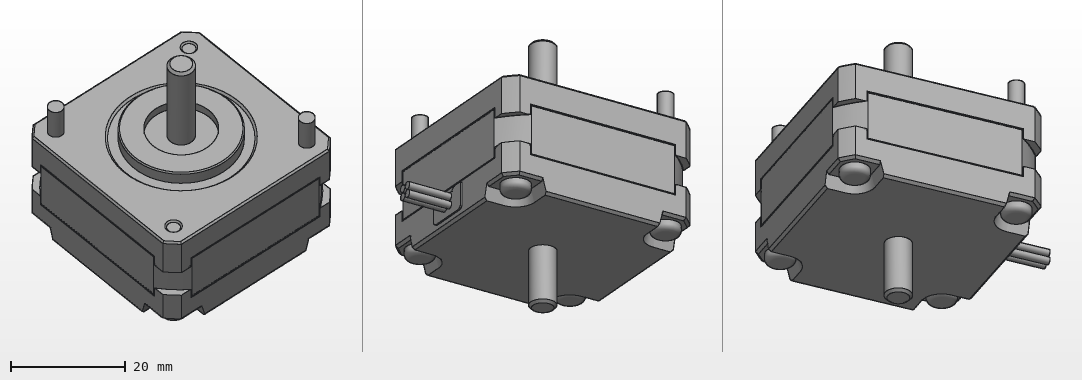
import cadquery as cq
import math


body_width = 39.0
body_height = 21.9
corner_radius = 26.0
top_chamfer = 0.35
bottom_chamfer = 0.5
half_width = body_width / 2

stator_radius = 24.5
stator_height = 9.4
stator_mid_z = -10.2
band_height = 5.6
groove_slope = 45
groove_width = 0.2
flat_width = 2 * math.sqrt(stator_radius**2 - half_width**2)

pilot_radius = 11.0
pilot_height = 2.1
pilot_chamfer = 0.25
bore_radius = 6.55
bore_depth = 1.65
ring_groove_radius = 13.25
ring_groove_depth = 0.4

shaft_radius = 2.5
shaft_top = 18.1
shaft_length = 51.0
shaft_chamfer = 0.5

screw_offset = 15.5
pin_radius = 1.5
pin_height = 6.1
dimple_radius = 1.55
dimple_depth = 0.3

pocket_depth = 2.5
pocket_radius = 3.05
pocket_flare = 15.0
head_radius = 2.75
head_height = 1.9
head_round = 1.0

wire_radius = 0.7
wire_pitch_x = 1.55
wire_pitch_z = 1.6
wire_length = 9.0
wire_mid_z = -17.7
grommet_width = 8.75
grommet_height = 5.1
grommet_thickness = 0.3
grommet_mid_z = -17.95
grommet_round = 0.85
notch_width = 4.5
notch_depth = 0.7

body_bottom = -body_height
pocket_ceiling = body_bottom + pocket_depth
overlap = 0.5


def cylinder(radius, bottom, height):
    return cq.Workplane("XY").workplane(offset=bottom).circle(radius).extrude(height)


def body_block(bottom):
    """Square block with turned corners, from `bottom` up to the mounting face, edges chamfered."""
    height = -bottom
    block = cq.Workplane("XY").workplane(offset=bottom).rect(body_width, body_width).extrude(height)
    block = block.intersect(cylinder(corner_radius, bottom, height))
    return block.faces(">Z").chamfer(top_chamfer).faces("<Z").chamfer(bottom_chamfer)


def corner_pocket():
    """Flared cutter for the (+X, +Y) corner, rounded about the screw axis."""
    wall = screw_offset - pocket_radius
    mid = screw_offset - pocket_radius * math.sqrt(0.5)
    outside = body_width
    cutter_height = pocket_depth + bottom_chamfer
    return (
        cq.Workplane("XY")
        .workplane(offset=body_bottom + cutter_height)
        .moveTo(outside, wall)
        .lineTo(outside, outside)
        .lineTo(wall, outside)
        .lineTo(wall, screw_offset)
        .threePointArc((mid, mid), (screw_offset, wall))
        .close()
        .extrude(-cutter_height, taper=-pocket_flare)
    )


def screw_head():
    """Round-edged head hanging from the pocket ceiling at the (+X, +Y) corner."""
    return (
        cylinder(head_radius, pocket_ceiling - head_height, head_height + overlap)
        .faces("<Z").edges().fillet(head_round)
        .translate((screw_offset, screw_offset, 0))
    )


def side_window():
    """Cutter for the window in the +X face, narrowing inward at 45 degrees to the stator edge."""
    return (
        cq.Workplane("YZ", origin=(half_width, 0, stator_mid_z))
        .rect(flat_width + 2 * groove_width, stator_height + 2 * groove_width)
        .extrude(-groove_width, taper=groove_slope)
    )


def corner_band():
    """Ring cutter that bares the stator corners, with a 45 degree groove at both ends."""
    half_band = band_height / 2
    outside = body_width
    return (
        cq.Workplane("XZ", origin=(0, 0, stator_mid_z))
        .moveTo(outside, -half_band)
        .lineTo(stator_radius + groove_width, -half_band)
        .lineTo(stator_radius, -half_band - groove_width)
        .lineTo(stator_radius, half_band + groove_width)
        .lineTo(stator_radius + groove_width, half_band)
        .lineTo(outside, half_band)
        .close()
        .revolve(360, (0, 0, 0), (0, 1, 0))
    )


def stator():
    bottom = stator_mid_z - stator_height / 2
    block = cq.Workplane("XY").workplane(offset=bottom).rect(body_width, body_width).extrude(stator_height)
    return block.intersect(cylinder(stator_radius, bottom, stator_height))


def lead_wires():
    return (
        cq.Workplane("XZ", origin=(0, half_width - overlap, wire_mid_z))
        .rarray(wire_pitch_x, wire_pitch_z, 2, 2)
        .circle(wire_radius)
        .extrude(-(wire_length + overlap))
    )


def grommet():
    embedded_face = half_width - overlap
    depth = overlap + grommet_thickness
    plate = (
        cq.Workplane("XZ", origin=(0, embedded_face, grommet_mid_z))
        .rect(grommet_width, grommet_height)
        .extrude(-depth)
        .edges("|Y and <Z").fillet(grommet_round)
    )
    top_half = notch_width / 2
    floor_half = top_half - notch_depth
    notch = (
        cq.Workplane("XZ", origin=(0, half_width, grommet_mid_z + grommet_height / 2))
        .polyline([(-top_half, 0), (-floor_half, -notch_depth), (floor_half, -notch_depth), (top_half, 0)])
        .close()
        .extrude(-grommet_thickness)
    )
    return plate.cut(notch)


quarter_turns = (0, 90, 180, 270)
lower_body = body_block(body_bottom)
for angle in quarter_turns:
    lower_body = lower_body.cut(corner_pocket().rotate((0, 0, 0), (0, 0, 1), angle))
result = lower_body.union(body_block(pocket_ceiling))

result = result.cut(corner_band())
for angle in quarter_turns:
    result = result.cut(side_window().rotate((0, 0, 0), (0, 0, 1), angle))
result = result.union(stator())

for angle in quarter_turns:
    result = result.union(screw_head().rotate((0, 0, 0), (0, 0, 1), angle))

groove = cq.Workplane("XY").circle(ring_groove_radius).extrude(-ring_groove_depth, taper=groove_slope)
pilot = cylinder(pilot_radius, -ring_groove_depth - overlap, pilot_height + ring_groove_depth + overlap)
pilot = pilot.faces(">Z").chamfer(pilot_chamfer)
bore = cylinder(bore_radius, pilot_height - bore_depth, bore_depth)
result = result.cut(groove).union(pilot).cut(bore)

for side in (-1, 1):
    pin = cylinder(pin_radius, -overlap, pin_height + overlap)
    result = result.union(pin.translate((side * screw_offset, side * screw_offset, 0)))
    dimple = cq.Workplane("XY").circle(dimple_radius).extrude(-dimple_depth, taper=groove_slope)
    result = result.cut(dimple.translate((side * screw_offset, -side * screw_offset, 0)))

shaft = cylinder(shaft_radius, shaft_top - shaft_length, shaft_length)
shaft = shaft.faces("<Z or >Z").chamfer(shaft_chamfer)
result = result.union(shaft)

result = result.union(grommet()).union(lead_wires())